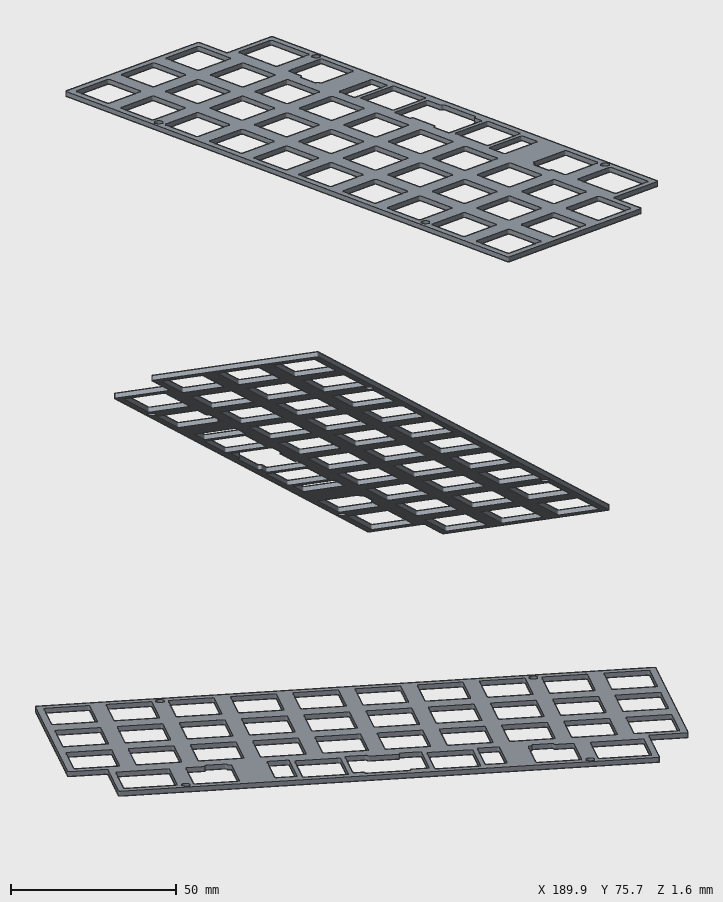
import cadquery as cq

thickness = 1.6
key_pitch = 19.05
switch_size = 14.0
columns = 10
rows = 4
rim = 2.25

top_row_length = 165.6

cutout_radius = 0.499
outline_radius = 0.5

stabilizer_width = 6.75
stabilizer_top = 6.0
stabilizer_bottom = -8.0
short_stabilizer_offset = 11.938
long_stabilizer_offset = 50.0

screw_diameter = 2.6
upper_screw_x = 61.9
upper_screw_y = 35.85
lower_screw_x = 3 * key_pitch


def column_x(units):
    """X of a key centred the given number of key units from the left end of the rows."""
    return (units - columns / 2) * key_pitch


def row_y(row):
    """Y of a key row, counted upwards from 0."""
    return (row - (rows - 1) / 2) * key_pitch


top_row_y = row_y(rows - 1)
half_switch = switch_size / 2

plate_length = (columns - 1) * key_pitch + switch_size + 2 * rim
plate_width = (rows - 1) * key_pitch + switch_size + 2 * rim

end_key_outer_x = column_x(1.125)
end_key_inner_x = column_x(1.25)
second_key_x = column_x(2.25)
left_space_x = column_x(3.875)
right_space_x = column_x(6)
middle_space_x = column_x(5)

shoulder_y = row_y(rows - 2) + half_switch + rim
lower_screw_y = row_y(0) - half_switch


def block(x_min, x_max, y_min, y_max):
    """Box of plate thickness spanning the given X and Y limits."""
    return cq.Workplane("XY").box(
        x_max - x_min, y_max - y_min, thickness, centered=False
    ).translate((x_min, y_min, 0))


def switch_block(x, y):
    return block(x - half_switch, x + half_switch, y - half_switch, y + half_switch)


def stabilizer_block(x):
    half_width = stabilizer_width / 2
    return block(
        x - half_width, x + half_width, top_row_y + stabilizer_bottom, top_row_y + stabilizer_top
    )


def rounded(blocks):
    """Join blocks into one cutter and round all its upright edges."""
    cutter = blocks[0]
    for extra in blocks[1:]:
        cutter = cutter.union(extra)
    return cutter.clean().edges("|Z").fillet(cutout_radius)


def make_blank():
    half_length = plate_length / 2
    half_width = plate_width / 2
    lower = block(-half_length, half_length, -half_width, shoulder_y)
    upper = block(-top_row_length / 2, top_row_length / 2, -half_width, half_width)
    return lower.union(upper).clean().edges("|Z").fillet(outline_radius)


def full_row_cutters():
    return [
        rounded([switch_block(column_x(column + 0.5), row_y(row))])
        for row in range(rows - 1)
        for column in range(columns)
    ]


def top_row_cutters():
    cutters = []
    for side in (1, -1):
        cutters.append(
            rounded(
                [
                    switch_block(side * end_key_outer_x, top_row_y),
                    switch_block(side * end_key_inner_x, top_row_y),
                ]
            )
        )
        cutters.append(
            rounded(
                [
                    switch_block(side * second_key_x, top_row_y),
                    stabilizer_block(-side * long_stabilizer_offset),
                ]
            )
        )
    cutters.append(rounded([switch_block(left_space_x, top_row_y)]))
    cutters.append(rounded([switch_block(right_space_x, top_row_y)]))
    cutters.append(rounded([stabilizer_block(left_space_x - short_stabilizer_offset)]))
    cutters.append(rounded([stabilizer_block(right_space_x + short_stabilizer_offset)]))
    cutters.append(
        rounded(
            [
                switch_block(middle_space_x, top_row_y),
                stabilizer_block(left_space_x + short_stabilizer_offset),
                stabilizer_block(right_space_x - short_stabilizer_offset),
            ]
        )
    )
    return cutters


def screw_cutters():
    points = [
        (-upper_screw_x, upper_screw_y),
        (upper_screw_x, upper_screw_y),
        (-lower_screw_x, lower_screw_y),
        (lower_screw_x, lower_screw_y),
    ]
    return cq.Workplane("XY").pushPoints(points).circle(screw_diameter / 2).extrude(thickness)


result = make_blank()
for cutter in full_row_cutters() + top_row_cutters():
    result = result.cut(cutter)
result = result.cut(screw_cutters())